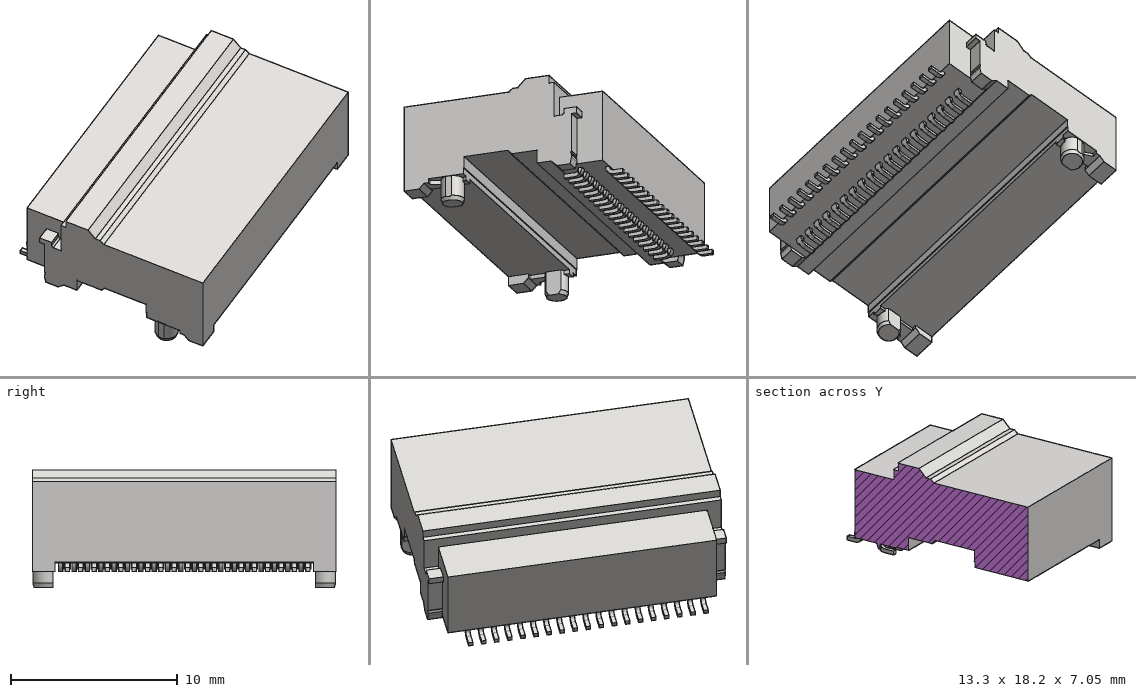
import cadquery as cq
import math


overall_length = 13.31
overall_width = 18.2
crest_top = 6.1
peg_depth = 0.95
half_width = overall_width / 2

rear_top = 5.4
shoulder_top = 5.6
hook_top = 3.82
hook_root = 3.43
underside = 0.57
front_arch = 1.4
rear_arch = 1.66
front_foot_bottom = 0.22
rear_foot_bottom = 0.32

hook_tip_x = 2.18
foot_front_x = 2.5
hook_back_x = 2.99
shoulder_x = 3.64
crest_front_x = 3.96
crest_back_x = 5.48
shoulder_back_x = 6.3
front_leg_back_x = 4.72
arch_ramp_x = 6.41
rear_leg_x = 9.48
rear_leg_top_x = 9.43
rear_foot_flat_x = 12.34

hook_root_chamfer = 0.12
notch_top = 1.03
notch_middle = 0.95
notch_bottom = 0.8
notch_depth = 0.06
toe_height = 0.64
toe_setback = 0.1
foot_flat_end_x = 3.43
foot_ramp_end_x = 3.83
ramp_length = 0.2
shoulder_ramp_x = 0.26
crest_drop = crest_top - shoulder_top

block_front_x = 0.84
block_top = 4.95
block_bottom = 0.51
block_width = 16.45

front_foot_width = 1.08
rear_foot_width = 1.37
peg_x = 10.45
peg_y = half_width - 0.72
peg_radius = 0.71
peg_chamfer_height = 0.26
peg_chamfer_inset = 0.1
peg_outer_flat = 0.685
peg_inner_flat = 0.53
peg_pocket_half_length = 1.29
peg_pocket_side_depth = 0.3
peg_pocket_angle = 26

contacts_per_row = 19
contact_pitch = 0.8
row_shift = contact_pitch / 4
contact_width = 0.27
contact_thickness = 0.25
wide_stem_width = 0.4
wide_stem_bottom = 0.17
bend_inner_radius = 0.27
contact_embed = 0.3
front_tail_flat = 0.58
rear_tail_flat = 0.65
rear_tail_end_x = 3.6


def box(x0, x1, y0, y1, z0, z1):
    """Box between opposite corners."""
    return cq.Workplane("XY").box(x1 - x0, y1 - y0, z1 - z0, centered=False).translate((x0, y0, z0))


def make_housing():
    """Side outline of the housing, extruded over the full width."""
    outline = [
        (hook_tip_x, hook_root),
        (hook_tip_x, hook_top),
        (hook_back_x, hook_top),
        (hook_back_x, hook_root + hook_root_chamfer),
        (hook_back_x + hook_root_chamfer, hook_root),
        (shoulder_x, hook_root),
        (shoulder_x, shoulder_top),
        (crest_front_x, shoulder_top),
        (crest_front_x, crest_top),
        (crest_back_x, crest_top),
        (crest_back_x + crest_drop, shoulder_top),
        (shoulder_back_x, shoulder_top),
        (shoulder_back_x + shoulder_ramp_x, rear_top),
        (overall_length, rear_top),
        (overall_length, 0),
        (rear_foot_flat_x, 0),
        (rear_foot_flat_x - rear_foot_bottom, rear_foot_bottom),
        (rear_leg_x, rear_foot_bottom),
        (rear_leg_x, notch_middle),
        (rear_leg_top_x, notch_middle),
        (rear_leg_top_x, rear_arch),
        (arch_ramp_x + ramp_length, rear_arch),
        (arch_ramp_x, front_arch),
        (front_leg_back_x, front_arch),
        (front_leg_back_x, underside),
        (foot_ramp_end_x, underside),
        (foot_flat_end_x, front_foot_bottom),
        (foot_front_x + toe_setback, front_foot_bottom),
        (foot_front_x, toe_height),
        (foot_front_x, notch_bottom),
        (foot_front_x + notch_depth, notch_middle),
        (foot_front_x, notch_top),
        (foot_front_x, hook_root),
    ]
    return cq.Workplane("XZ").polyline(outline).close().extrude(half_width, both=True)


def make_block():
    """Contact block held between the hooked end plates."""
    return box(block_front_x, shoulder_x, -block_width / 2, block_width / 2, block_bottom, block_top)


def make_underside_clearance():
    """Space between the front feet and between the rear feet."""
    front = box(0, front_leg_back_x, -block_width / 2, block_width / 2, 0, block_bottom)
    pad_y = half_width - front_foot_width
    heel_y = half_width - rear_foot_width
    pad = box(front_leg_back_x, rear_foot_flat_x - rear_foot_bottom, -pad_y, pad_y, 0, underside)
    heel = box(front_leg_back_x, overall_length, -heel_y, heel_y, 0, underside)
    return front.union(heel).union(pad)


def make_peg(side):
    """Round locating peg with a chamfered tip and a flat on each Y side."""
    height = underside + peg_depth + contact_embed
    tip_radius = peg_radius - peg_chamfer_inset
    peg = (
        cq.Workplane("XZ")
        .moveTo(0, 0)
        .lineTo(tip_radius, 0)
        .lineTo(peg_radius, peg_chamfer_height)
        .lineTo(peg_radius, height)
        .lineTo(0, height)
        .close()
        .revolve(360, (0, 0, 0), (0, 1, 0))
    )
    flats = sorted([side * peg_outer_flat, -side * peg_inner_flat])
    peg = peg.intersect(box(-peg_radius, peg_radius, flats[0], flats[1], 0, height))
    return peg.translate((peg_x, side * peg_y, -peg_depth))


def make_peg_pocket(side):
    """V-shaped relief in the foot, open to the end face and pointing inward behind a peg."""
    point_rise = peg_pocket_half_length * math.tan(math.radians(peg_pocket_angle))
    shoulder_y = side * (half_width - peg_pocket_side_depth)
    point_y = shoulder_y - side * point_rise
    outline = [
        (peg_x - peg_pocket_half_length, side * half_width),
        (peg_x - peg_pocket_half_length, shoulder_y),
        (peg_x, point_y),
        (peg_x + peg_pocket_half_length, shoulder_y),
        (peg_x + peg_pocket_half_length, side * half_width),
    ]
    return cq.Workplane("XY").polyline(outline).close().extrude(underside)


def make_contact(flat_length, width):
    """Contact tail with its tip at X = 0, bent up into a vertical stem."""
    outer_radius = bend_inner_radius + contact_thickness
    inner_mid = bend_inner_radius * math.sqrt(0.5)
    outer_mid = outer_radius * math.sqrt(0.5)
    stem_top = outer_radius + contact_embed
    return (
        cq.Workplane("XZ")
        .moveTo(0, 0)
        .lineTo(flat_length, 0)
        .threePointArc(
            (flat_length + outer_mid, outer_radius - outer_mid),
            (flat_length + outer_radius, outer_radius),
        )
        .lineTo(flat_length + outer_radius, stem_top)
        .lineTo(flat_length + bend_inner_radius, stem_top)
        .lineTo(flat_length + bend_inner_radius, outer_radius)
        .threePointArc(
            (flat_length + inner_mid, outer_radius - inner_mid),
            (flat_length, contact_thickness),
        )
        .lineTo(0, contact_thickness)
        .close()
        .extrude(width / 2, both=True)
    )


def make_rear_contact():
    """Rear-row contact, mirrored, whose stem is wider than its foot."""
    stem_start = rear_tail_flat + bend_inner_radius
    stem_end = stem_start + contact_thickness
    stem_top = stem_end - rear_tail_flat + contact_embed
    half_stem = wide_stem_width / 2
    stem_zone = box(stem_start, stem_end, -half_stem, half_stem, wide_stem_bottom, stem_top)
    wide_stem = make_contact(rear_tail_flat, wide_stem_width).intersect(stem_zone)
    contact = make_contact(rear_tail_flat, contact_width).union(wide_stem)
    return contact.mirror("YZ").translate((rear_tail_end_x, 0, 0))


def add_contacts(body):
    """Front row pointing to -X and rear row pointing to +X, offset by half a pitch."""
    front_tail = make_contact(front_tail_flat, contact_width)
    rear_tail = make_rear_contact()
    for index in range(contacts_per_row):
        y = (index - (contacts_per_row - 1) / 2) * contact_pitch
        body = body.union(front_tail.translate((0, y - row_shift, 0)))
        body = body.union(rear_tail.translate((0, y + row_shift, 0)))
    return body


result = make_housing().union(make_block()).cut(make_underside_clearance())
for side in (-1, 1):
    result = result.cut(make_peg_pocket(side)).union(make_peg(side))
result = add_contacts(result)